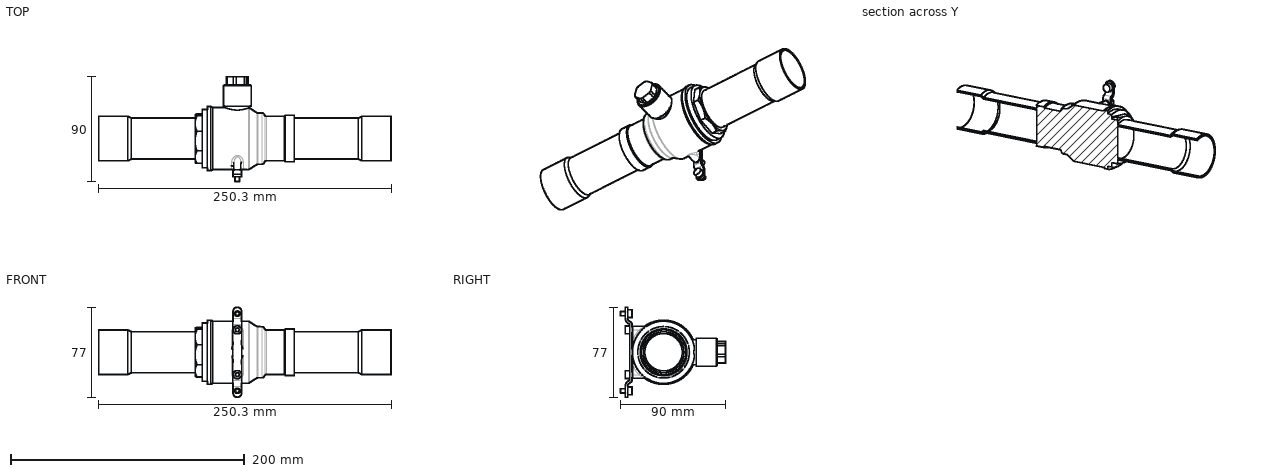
import cadquery as cq
import math


overall_length = 250.3
overall_depth = 90.0

left_end = -118.6
right_end = left_end + overall_length
pipe_dia = 35.3
pipe_bore = 32.0
socket_dia = 38.3
socket_bore = 35.0
socket_length = 10.0
socket_taper = 1.2

nut_start = -36.0
ring_start = -30.0
flange_start = -25.5
flange_end = -22.5
body_start = -21.0
body_end = 9.8
shoulder_start = 17.0
shoulder_round_start = 21.0
shoulder_round_end = 23.3
neck_start = 24.8
collar_start = 40.3
collar_end = 48.8
ring_dia = 50.0
flange_dia = 55.0
body_dia = 53.3
shoulder_dia = 44.0
shoulder_rim_dia = 40.5
neck_dia = 38.3
collar_dia = 40.0
collar_chamfer = 0.8
cone_fillet = 1.5

nut_sides = 8
nut_corner_dia = 44.3
nut_turn = 16.5
nut_face_dia = 41.0
nut_chamfer = 1.5

stem_dia = 21.5
cap_dia = 24.0
cap_base = 27.8
cap_top = 46.0
cap_chamfer = 1.0
cap_hex_top = 53.0
cap_hex_sides = 6
cap_hex_flats = 17.3
cap_hex_corner_dia = 18.8
cap_hex_turn = 16.5

pad_face = -26.5
pad_width = 6.3
pad_fillet = 2.0
screw_spacing = 38.3
bracket_back = -26.8
bracket_thickness = 2.3
bracket_width = 7.5
bracket_height = 77.0
bracket_step = 3.8
bend_middle = 26.3
bend_height = 5.5
lower_bend_radius = 1.8

screw_head_dia = 7.0
screw_head_height = 3.8
screw_shank_dia = 4.5
screw_reach = 2.5
screw_socket_dia = 3.3
screw_socket_depth = 2.0
pin_spacing = 66.0
pin_dia = 4.0
pin_hole_dia = 4.5
pin_tip_dia = 3.3
pin_tip = cap_hex_top - overall_depth


def revolve_x(points):
    """Revolve an (x, radius) outline about the X axis."""
    return cq.Workplane("XY").polyline(points).close().revolve(360, (0, 0, 0), (1, 0, 0))


def rod_y(dia, y_from, y_to, z=0.0):
    """Round rod parallel to Y between two Y positions, on X = 0."""
    rod = cq.Workplane("XZ").center(0, z).circle(dia / 2).extrude(y_from - y_to)
    return rod.translate((0, y_from, 0))


def pipe_stub(end, inner_end):
    """Thin pipe with a widened socket, open at its outer end and closed at the body."""
    inward = math.copysign(2.5, inner_end - end)
    socket_end = end + inward * socket_length
    taper_end = socket_end + inward * socket_taper
    return revolve_x([
        (end, socket_bore / 2),
        (end, socket_dia / 2),
        (socket_end, socket_dia / 2),
        (taper_end, pipe_dia / 2),
        (inner_end, pipe_dia / 2),
        (inner_end, pipe_bore / 2),
        (taper_end, pipe_bore / 2),
        (socket_end, socket_bore / 2),
    ])


def valve_body():
    """Solid turned body, from the ring behind the nut to the collar on the right."""
    turned = (
        cq.Workplane("XY")
        .moveTo(ring_start, 0)
        .lineTo(ring_start, ring_dia / 2)
        .lineTo(flange_start, ring_dia / 2)
        .lineTo(flange_start, flange_dia / 2)
        .lineTo(flange_end, flange_dia / 2)
        .lineTo(body_start, body_dia / 2)
        .lineTo(body_end, body_dia / 2)
        .lineTo(shoulder_start, shoulder_dia / 2)
        .lineTo(shoulder_round_start, shoulder_dia / 2)
        .tangentArcPoint((shoulder_round_end, shoulder_rim_dia / 2), relative=False)
        .tangentArcPoint((neck_start, neck_dia / 2), relative=False)
        .lineTo(collar_start, neck_dia / 2)
        .lineTo(collar_start + collar_chamfer, collar_dia / 2)
        .lineTo(collar_end, collar_dia / 2)
        .lineTo(collar_end, 0)
        .close()
        .revolve(360, (0, 0, 0), (1, 0, 0))
    )
    reach = cone_fillet / 2
    cone_edges = cq.selectors.BoxSelector(
        (body_end - reach, -reach, -reach),
        (shoulder_start + reach, reach, reach),
    )
    return turned.edges(cone_edges).fillet(cone_fillet)


def octagonal_nut():
    """Octagon whose free corners are turned down to a cone."""
    length = ring_start - nut_start
    nut = cq.Workplane("YZ").polygon(nut_sides, nut_corner_dia).extrude(length)
    nut = nut.rotate((0, 0, 0), (1, 0, 0), -nut_turn).translate((nut_start, 0, 0))
    turned = revolve_x([
        (nut_start, 0),
        (nut_start, nut_face_dia / 2),
        (nut_start + nut_chamfer, nut_corner_dia / 2),
        (ring_start, nut_corner_dia / 2),
        (ring_start, 0),
    ])
    return nut.intersect(turned)


def stem_cap():
    """Stem, round cap, and a hexagon with its corners turned round."""
    stem = rod_y(stem_dia, 0, cap_base)
    cap = rod_y(cap_dia, cap_base, cap_top).faces(">Y").chamfer(cap_chamfer)
    corner_circle = cap_hex_flats / math.cos(math.pi / cap_hex_sides)
    hexagon = cq.Workplane("XZ").polygon(cap_hex_sides, corner_circle).extrude(cap_top - cap_hex_top)
    hexagon = hexagon.rotate((0, 0, 0), (0, 1, 0), cap_hex_turn).translate((0, cap_top, 0))
    turned = rod_y(cap_hex_corner_dia, cap_top, cap_hex_top)
    return stem.union(cap).union(hexagon.intersect(turned))


def mounting_pad():
    """Upright round-ended pad for the bracket screws, filleted into the body and faced off flat."""
    core_start = -pad_width / 2 - 2 * pad_fillet
    core = cq.Workplane("YZ").circle(body_dia / 2).extrude(-2 * core_start).translate((core_start, 0, 0))
    uncut_length = body_dia / 2 + 2 * pad_fillet
    pad = cq.Workplane("XZ").slot2D(screw_spacing + pad_width, pad_width, 90).extrude(uncut_length)
    blended = core.union(pad)
    foot_finder = cq.selectors.BoxSelector(
        (-pad_width, -uncut_length + pad_fillet / 2, -body_dia / 2),
        (pad_width, -pad_width, body_dia / 2),
        boundingbox=True,
    )
    blended = blended.edges(foot_finder).edges("not #Y").fillet(pad_fillet)
    keep = cq.Workplane("XY").box(body_dia, body_dia, body_dia).translate((0, pad_face + body_dia / 2, 0))
    return blended.intersect(keep)


def bracket():
    """Flat strip whose two ends step outwards through S-bends and are rounded."""
    half_angle = math.atan(bracket_step / bend_height)
    bend_angle = 2 * half_angle
    upper_bend_radius = bend_height / math.sin(bend_angle) - lower_bend_radius
    inner_y = bracket_back - bracket_thickness / 2
    outer_y = inner_y - bracket_step
    bend_low = bend_middle - bend_height / 2
    bend_high = bend_middle + bend_height / 2

    def face_points(offset):
        """Bend points, from the middle outwards, on the strip face shifted by offset along Y."""
        low_radius = lower_bend_radius + offset
        high_radius = upper_bend_radius - offset

        def low_point(angle):
            y = inner_y - lower_bend_radius + low_radius * math.cos(angle)
            return (y, bend_low + low_radius * math.sin(angle))

        def high_point(angle):
            y = outer_y + upper_bend_radius - high_radius * math.cos(angle)
            return (y, bend_high - high_radius * math.sin(angle))

        lower_bend = [low_point(0), low_point(half_angle), low_point(bend_angle)]
        return lower_bend + [high_point(half_angle), high_point(0)]

    half_thickness = bracket_thickness / 2
    top = bracket_height / 2
    back = face_points(half_thickness)
    front = face_points(-half_thickness)
    upper_half = (
        cq.Workplane("YZ")
        .moveTo(inner_y + half_thickness, 0)
        .lineTo(*back[0])
        .threePointArc(back[1], back[2])
        .threePointArc(back[3], back[4])
        .lineTo(outer_y + half_thickness, top)
        .lineTo(outer_y - half_thickness, top)
        .lineTo(*front[4])
        .threePointArc(front[3], front[2])
        .threePointArc(front[1], front[0])
        .lineTo(inner_y - half_thickness, 0)
        .close()
        .extrude(bracket_width / 2, both=True)
    )
    strip = upper_half.union(upper_half.mirror("XY"))
    rounded = cq.Workplane("XZ").slot2D(bracket_height, bracket_width, 90).extrude(-pin_tip)
    pin_holes = (
        cq.Workplane("XZ")
        .pushPoints([(0, pin_spacing / 2), (0, -pin_spacing / 2)])
        .circle(pin_hole_dia / 2)
        .extrude(-pin_tip)
    )
    return strip.intersect(rounded).cut(pin_holes)


def bracket_screw(z):
    """Socket-head screw through the bracket into the pad."""
    seat = bracket_back - bracket_thickness
    head_top = seat - screw_head_height
    shank = rod_y(screw_shank_dia, seat, pad_face + screw_reach, z)
    head = rod_y(screw_head_dia, head_top, seat, z)
    socket = rod_y(screw_socket_dia, head_top, head_top + screw_socket_depth, z)
    return shank.union(head).cut(socket)


def end_pin(z):
    """Pin with a chamfered tip, loose in its bracket hole, with its head behind the strip."""
    head_seat = bracket_back - bracket_step
    head = rod_y(screw_head_dia, head_seat, head_seat + screw_head_height, z)
    pin = rod_y(pin_dia, pin_tip, head_seat, z).faces("<Y").chamfer((pin_dia - pin_tip_dia) / 2)
    return head.union(pin)


result = valve_body().union(octagonal_nut()).union(stem_cap())
result = result.union(pipe_stub(left_end, nut_start)).union(pipe_stub(right_end, collar_end))
result = result.union(mounting_pad()).union(bracket())
for side in (-1, 1):
    result = result.union(bracket_screw(side * screw_spacing / 2))
    result = result.union(end_pin(side * pin_spacing / 2))